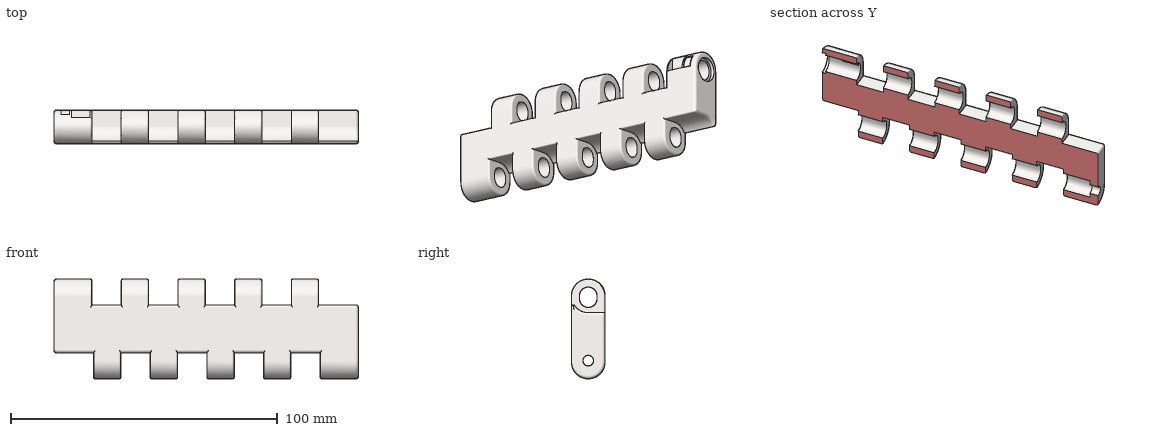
import cadquery as cq
import math

LENGTH = 114.2
THICKNESS = 12.7
HEIGHT = 37.5
BARREL_RADIUS = THICKNESS / 2
PIN_HEIGHT = HEIGHT / 2 - BARREL_RADIUS

PITCH = 21.2
ROW_STAGGER = 10.4
KNUCKLE_WIDTH = 10.3
SHORT_KNUCKLES = 4
UPPER_KNUCKLE_STARTS = [PITCH * (i - (SHORT_KNUCKLES - 1) / 2) for i in range(SHORT_KNUCKLES)]
LOWER_KNUCKLE_STARTS = [start - ROW_STAGGER for start in UPPER_KNUCKLE_STARTS]
UPPER_END_STOP = UPPER_KNUCKLE_STARTS[0] - PITCH + KNUCKLE_WIDTH
LOWER_END_START = LOWER_KNUCKLE_STARTS[-1] + PITCH

SEAT_RADIUS = 6.3

END_ROUND = 1.0
KNUCKLE_ROUND = 0.7
LIP_ROUND = 1.0
LEDGE_ROUND = 0.5

SLOT_RADIUS = 3.26
SLOT_STRETCH = 1.0
SLOT_CENTER = PIN_HEIGHT - SLOT_STRETCH / 2
SLOT_END_WALL = 3.4
COUNTERBORE_RADIUS = 4.6
COUNTERBORE_DEPTH = 1.4
KNOCKOUT_RADIUS = 1.9

WINDOW_START = 6.5
WINDOW_END = 13.5
WINDOW_DEPTH = 2.9
DIMPLE_START = 2.6
DIMPLE_END = 5.8
DIMPLE_WIDTH = 1.7
DIMPLE_DEPTH = 0.2


def extrude_section(section, start, end):
    """Extrude a closed YZ section from X = start to X = end."""
    return section.extrude(end - start).translate((start, 0, 0))


def turned(solid):
    """The same solid turned half a turn in the XZ plane about the Y axis."""
    return solid.rotate((0, 0, 0), (0, 1, 0), 180)


def make_seat_block():
    """Central web with flat ledges at the back and hollow pin seats, running past the front face."""
    ledge = PIN_HEIGHT - SEAT_RADIUS
    front = -SEAT_RADIUS
    overrun = front - 3 * END_ROUND
    seat_y = front * math.sqrt(0.5)
    seat_z = PIN_HEIGHT + seat_y
    section = (
        cq.Workplane("YZ")
        .moveTo(BARREL_RADIUS, -ledge)
        .lineTo(BARREL_RADIUS, ledge)
        .lineTo(0, ledge)
        .threePointArc((seat_y, seat_z), (front, PIN_HEIGHT))
        .lineTo(overrun, PIN_HEIGHT)
        .lineTo(overrun, -PIN_HEIGHT)
        .lineTo(front, -PIN_HEIGHT)
        .threePointArc((seat_y, -seat_z), (0, -ledge))
        .close()
    )
    block = extrude_section(section, -LENGTH / 2, LENGTH / 2)
    return block.faces("<X or >X").edges().fillet(END_ROUND)


def make_front_block():
    """Block as high as the lip tips, rounded along the lips and around both ends."""
    tip_y = -BARREL_RADIUS + LIP_ROUND
    tip_z = PIN_HEIGHT - math.sqrt(SEAT_RADIUS**2 - tip_y**2)
    block = cq.Workplane("XY").box(LENGTH, THICKNESS, 2 * tip_z)
    block = block.faces("<Y").edges("|X").fillet(LIP_ROUND)
    return block.faces("<X or >X").edges().fillet(END_ROUND)


def make_knuckle(start, end, left_round=KNUCKLE_ROUND):
    """Upper barrel with straight sides running down to the middle of the part."""
    section = (
        cq.Workplane("YZ")
        .moveTo(-BARREL_RADIUS, 0)
        .lineTo(-BARREL_RADIUS, PIN_HEIGHT)
        .threePointArc((0, HEIGHT / 2), (BARREL_RADIUS, PIN_HEIGHT))
        .lineTo(BARREL_RADIUS, 0)
        .close()
    )
    knuckle = extrude_section(section, start, end)
    knuckle = knuckle.faces("<X").edges("not <Z").fillet(left_round)
    return knuckle.faces(">X").edges("not <Z").fillet(KNUCKLE_ROUND)


def make_pin_slot(start, end):
    """Cutter for the upper pin slot."""
    slot = (
        cq.Workplane("YZ")
        .center(0, SLOT_CENTER)
        .slot2D(2 * SLOT_RADIUS + SLOT_STRETCH, 2 * SLOT_RADIUS, 90)
    )
    return extrude_section(slot, start, end)


def make_round_hole(radius, start, end):
    """Cutter for a round hole centred on the upper pin slot."""
    circle = cq.Workplane("YZ").center(0, SLOT_CENTER).circle(radius)
    return extrude_section(circle, start, end)


def make_window():
    """Cutter for the recess open to the back and top, with its floor at pin height."""
    size = (WINDOW_END - WINDOW_START, WINDOW_DEPTH, BARREL_RADIUS)
    corner = (WINDOW_START - LENGTH / 2, BARREL_RADIUS - WINDOW_DEPTH, PIN_HEIGHT)
    return cq.Workplane("XY").box(*size, centered=False).translate(corner)


def make_dimple():
    """Cutter for the shallow recess that follows the barrel."""
    start = DIMPLE_START - LENGTH / 2
    width = DIMPLE_END - DIMPLE_START
    outer = cq.Workplane("YZ").center(0, PIN_HEIGHT).circle(2 * BARREL_RADIUS)
    ring = outer.circle(BARREL_RADIUS - DIMPLE_DEPTH)
    block = (
        cq.Workplane("XY")
        .box(width, DIMPLE_WIDTH, BARREL_RADIUS, centered=False)
        .translate((start, BARREL_RADIUS - DIMPLE_WIDTH, PIN_HEIGHT))
    )
    return extrude_section(ring, start, start + width).intersect(block)


left = -LENGTH / 2
right = LENGTH / 2

result = make_seat_block().intersect(make_front_block())
result = result.faces(">Y").edges("|X").fillet(LEDGE_ROUND)

result = result.union(make_knuckle(left, UPPER_END_STOP, left_round=END_ROUND))
for start in UPPER_KNUCKLE_STARTS:
    result = result.union(make_knuckle(start, start + KNUCKLE_WIDTH))

result = result.union(turned(make_knuckle(-right, -LOWER_END_START, left_round=END_ROUND)))
for start in LOWER_KNUCKLE_STARTS:
    result = result.union(turned(make_knuckle(-start - KNUCKLE_WIDTH, -start)))

result = result.cut(make_pin_slot(left, right))
result = result.cut(make_round_hole(COUNTERBORE_RADIUS, left, left + COUNTERBORE_DEPTH))

result = result.cut(turned(make_pin_slot(-right + SLOT_END_WALL, -left)))
result = result.cut(turned(make_round_hole(KNOCKOUT_RADIUS, -right, -left)))

result = result.cut(make_window()).cut(make_dimple())